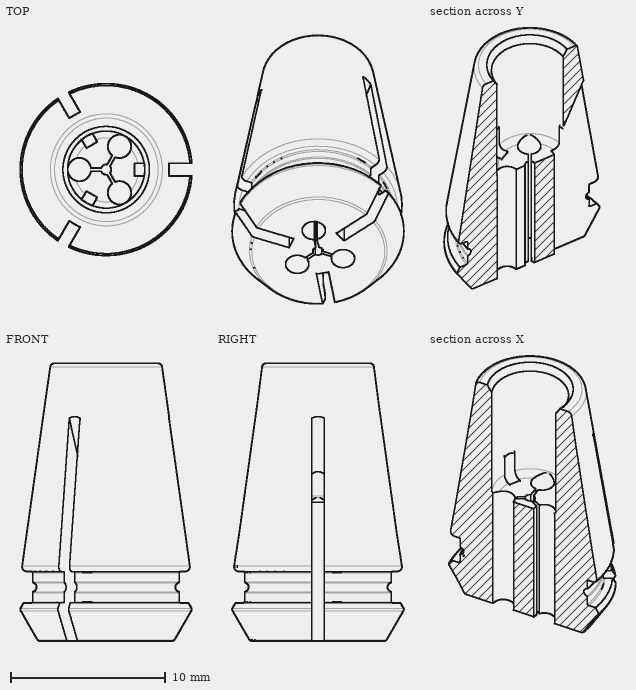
import cadquery as cq
import math

height = 18.0
body_taper = math.radians(8)
top_radius = 3.6
top_fillet = 0.28
skirt_fillet = 0.32

flange_radius = 5.595
flange_tip_height = 2.05
flange_angle = math.radians(30)
flange_tip_fillet = 0.15
nose_radius = flange_radius - flange_tip_height * math.tan(flange_angle)
nose_edge_fillet = 0.17

neck_bottom = 2.48
neck_top = 4.5
neck_radius = 4.76
flange_top_radius = flange_radius - (neck_bottom - flange_tip_height) * math.tan(flange_angle)
neck_corner_fillet = 0.08
ring_groove_radius = 0.3
ring_groove_depth = 0.25
ring_groove_rim_fillet = 0.08

bore_radius = 2.5
mouth_radius = 2.8
mouth_depth = 0.5
floor_height = 9.0
floor_fillet = 0.42
centre_hole_radius = 0.325

slot_count = 3
slot_pitch = 360 / slot_count
slot_width = 0.8
slot_inner_radius = 1.85
slot_end_radius = 4.08
slot_end_height = 14.52
slot_runout_angle = math.radians(66)
slot_crown_radius = 2.5

relief_hole_radius = 0.75
relief_hole_pitch_radius = 1.735
slit_width = 0.2
relief_start_angle = slot_pitch / 2


def body_radius(z):
    """Radius of the tapered body at height z."""
    return top_radius + (height - z) * math.tan(body_taper)


def outer_body():
    """Solid of revolution with sharp edges."""
    return (
        cq.Workplane("XZ")
        .moveTo(0, 0)
        .lineTo(nose_radius, 0)
        .lineTo(flange_radius, flange_tip_height)
        .lineTo(flange_top_radius, neck_bottom)
        .lineTo(neck_radius, neck_bottom)
        .lineTo(neck_radius, neck_top)
        .lineTo(body_radius(neck_top), neck_top)
        .lineTo(top_radius, height)
        .lineTo(0, height)
        .close()
        .revolve(360, (0, 0, 0), (0, 1, 0))
    )


def round_edge(part, radius, z, fillet):
    """Fillet the circular edge of the given radius at height z."""
    tolerance = 0.001

    def is_wanted(edge):
        return abs(edge.radius() - radius) < tolerance and abs(edge.Center().z - z) < tolerance

    return part.edges("%CIRCLE").filter(is_wanted).fillet(fillet)


def round_outer_edges(part):
    part = round_edge(part, top_radius, height, top_fillet)
    part = round_edge(part, body_radius(neck_top), neck_top, skirt_fillet)
    part = round_edge(part, neck_radius, neck_top, neck_corner_fillet)
    part = round_edge(part, neck_radius, neck_bottom, neck_corner_fillet)
    part = round_edge(part, flange_radius, flange_tip_height, flange_tip_fillet)
    return round_edge(part, nose_radius, 0, nose_edge_fillet)


def cut_ring_groove(part):
    """Round-bottomed groove around the middle of the neck, with rounded rims."""
    centre_offset = ring_groove_radius - ring_groove_depth
    centre_height = (neck_bottom + neck_top) / 2
    ring = cq.Solid.makeTorus(
        neck_radius + centre_offset,
        ring_groove_radius,
        cq.Vector(0, 0, centre_height),
        cq.Vector(0, 0, 1),
    )
    part = part.cut(cq.Workplane(ring))
    half_opening = math.sqrt(ring_groove_radius**2 - centre_offset**2)
    for rim_height in (centre_height - half_opening, centre_height + half_opening):
        part = round_edge(part, neck_radius, rim_height, ring_groove_rim_fillet)
    return part


def bore():
    """Entry bore with a chamfered mouth, a rounded floor and the small through hole below it."""
    return (
        cq.Workplane("XZ")
        .moveTo(0, 0)
        .lineTo(centre_hole_radius, 0)
        .lineTo(centre_hole_radius, floor_height)
        .lineTo(bore_radius - floor_fillet, floor_height)
        .radiusArc((bore_radius, floor_height + floor_fillet), -floor_fillet)
        .lineTo(bore_radius, height - mouth_depth)
        .lineTo(mouth_radius, height)
        .lineTo(0, height)
        .close()
        .revolve(360, (0, 0, 0), (0, 1, 0))
    )


def spring_slot(angle):
    """Radial slot, open below, whose slightly crowned end slopes down towards the axis."""
    end_plane = cq.Plane(
        origin=(slot_end_radius, 0, slot_end_height),
        xDir=(0, 1, 0),
        normal=(math.cos(slot_runout_angle), 0, math.sin(slot_runout_angle)),
    )
    half_width = slot_width / 2
    crown_drop = slot_crown_radius - math.sqrt(slot_crown_radius**2 - half_width**2)
    blade = (
        cq.Workplane(end_plane)
        .moveTo(-half_width, -height)
        .lineTo(-half_width, -crown_drop)
        .threePointArc((0, 0), (half_width, -crown_drop))
        .lineTo(half_width, -height)
        .close()
        .extrude(height, both=True)
    )
    radial_limit = cq.Workplane("XY").box(
        flange_radius, slot_width, height, centered=(False, True, False)
    ).translate((slot_inner_radius, 0, 0))
    return blade.intersect(radial_limit).rotate((0, 0, 0), (0, 0, 1), angle)


def relief(angle):
    """Through hole beside the axis plus the slit that leads to the centre."""
    hole = (
        cq.Workplane("XY")
        .center(relief_hole_pitch_radius, 0)
        .circle(relief_hole_radius)
        .extrude(floor_height + floor_fillet)
    )
    slit = cq.Workplane("XY").box(
        relief_hole_pitch_radius, slit_width, floor_height, centered=(False, True, False)
    )
    return hole.union(slit).rotate((0, 0, 0), (0, 0, 1), angle)


result = round_outer_edges(outer_body())
result = cut_ring_groove(result).cut(bore())
for index in range(slot_count):
    slot_angle = index * slot_pitch
    result = result.cut(spring_slot(slot_angle))
    result = result.cut(relief(slot_angle + relief_start_angle))